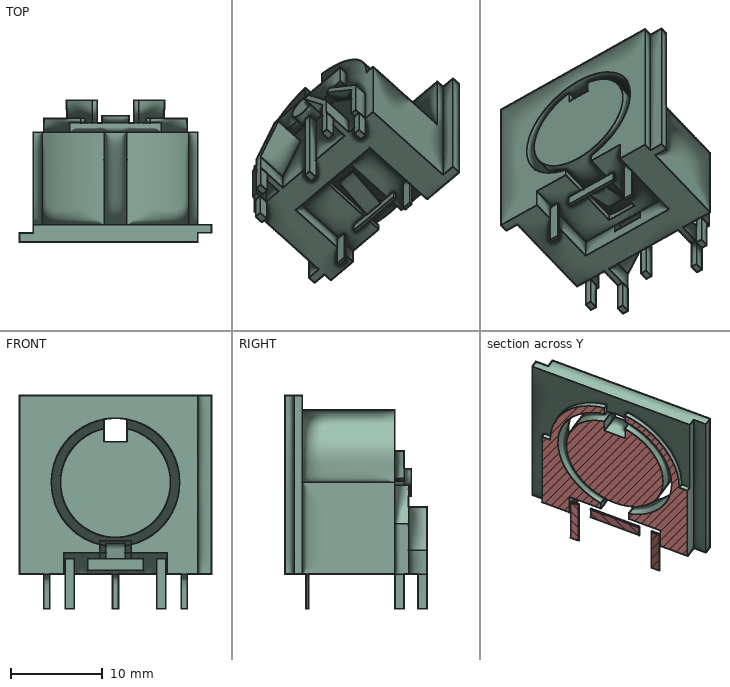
import cadquery as cq
import math


plate_width = 19.5
panel_height = 19.5
panel_span = 21.0
front_plate_depth = 1.0
panel_depth = 1.9

body_back = 12.0
body_width = 18.0
barrel_radius = 8.0
axis_height = 10.0
bore_radius = 7.0
core_radius = 6.0
bore_depth = 9.0
key_slot_width = 2.5
key_slot_floor = 14.45

recess_width = 11.24
recess_height = 2.35
tab_slot_width = 3.44
tab_slot_depth = 8.0
back_pocket_height = 3.65
back_pocket_depth = 1.0

sheet = 0.3
ground_front = 2.28
ground_pin_spacing = 10.0
ground_pin_width = 1.0
ground_top = 1.67
apron_width = 6.04
apron_bottom = 0.44
tab_width = 2.1
tab_tip_height = 3.34
tab_run = 4.64
pin_tip = -3.8

leg_width = 0.7
leg_depth = 1.0
strip_width = 0.63
outer_strip_x = 7.5
outer_strip_back = 13.5
outer_bend_height = 5.5
outer_arm_run = 4.0
outer_arm_rise = 4.21
inner_strip_x = 5.0
inner_strip_back = 15.5
inner_bend_height = 2.6
inner_arm_run = 2.79
inner_arm_rise = 4.72

crosspiece_half_width = 5.0
crosspiece_top = 13.44
crosspiece_bottom = 10.47
waist_half_width = 3.07
waist_height = 10.1
foot_half_width = 3.7
foot_height = 9.6
rivet_diameter = 3.0
rivet_length = 0.8


def block(x_min, x_max, y_min, y_max, z_min, z_max):
    size = (x_max - x_min, y_max - y_min, z_max - z_min)
    return cq.Workplane("XY").box(*size, centered=False).translate((x_min, y_min, z_min))


def centred_block(width, y_min, y_max, z_min, z_max):
    return block(-width / 2, width / 2, y_min, y_max, z_min, z_max)


def extrude_back(sketch, y_min, y_max):
    """Extrude an XZ sketch from y_min back to y_max."""
    return sketch.extrude(y_min - y_max).translate((0, y_min, 0))


def disc(radius, y_min, y_max):
    """Cylinder on the socket axis."""
    return extrude_back(cq.Workplane("XZ").center(0, axis_height).circle(radius), y_min, y_max)


def profile(points, y_min, y_max):
    return extrude_back(cq.Workplane("XZ").polyline(points).close(), y_min, y_max)


def front_panel():
    edge = panel_span / 2
    front_plate = block(-edge, plate_width - edge, 0, front_plate_depth, 0, panel_height)
    back_plate = block(edge - plate_width, edge, front_plate_depth, panel_depth, 0, panel_height)
    return front_plate.union(back_plate)


def socket_body():
    """Round barrel on a square base, behind the panel."""
    barrel = disc(barrel_radius, panel_depth, body_back)
    return barrel.union(centred_block(body_width, panel_depth, body_back, 0, axis_height))


def annular_bore():
    return disc(bore_radius, 0, bore_depth).cut(disc(core_radius, 0, bore_depth))


def key_slot():
    """Slot for the plug key: within the bore at the panel, open to the top behind it."""
    in_panel = centred_block(key_slot_width, 0, panel_depth, key_slot_floor, panel_height)
    in_panel = in_panel.intersect(disc(bore_radius, 0, panel_depth))
    behind = centred_block(key_slot_width, panel_depth, body_back, key_slot_floor, panel_height)
    return in_panel.union(behind)


def ground_recess():
    """Wide recess, the slot that opens it into the bore, and a shallow pocket in its back wall."""
    recess = centred_block(recess_width, 0, bore_depth, 0, recess_height)
    tab_slot = centred_block(tab_slot_width, 0, tab_slot_depth, 0, axis_height - core_radius)
    tab_slot = tab_slot.cut(disc(core_radius, 0, tab_slot_depth))
    pocket_back = bore_depth + back_pocket_depth
    pocket_floor = ground_top - sheet
    pocket = centred_block(tab_slot_width, bore_depth, pocket_back, pocket_floor, back_pocket_height)
    return recess.union(tab_slot).union(pocket)


def signal_contact(x, bend_height, arm_run, arm_rise, back, leg_back):
    """Left-hand contact: a strip that leans inward above its bend, and its solder leg."""
    arm_length = math.hypot(arm_run, arm_rise)
    outside = -x - strip_width / 2
    inside = -x + strip_width / 2
    tip_x = outside + arm_run
    tip_z = bend_height + arm_rise
    inner_tip_x = tip_x + strip_width * arm_rise / arm_length
    inner_tip_z = tip_z - strip_width * arm_run / arm_length
    inner_bend_height = inner_tip_z - (inner_tip_x - inside) * arm_rise / arm_run
    outline = [
        (outside, 0),
        (outside, bend_height),
        (tip_x, tip_z),
        (inner_tip_x, inner_tip_z),
        (inside, inner_bend_height),
        (inside, 0),
    ]
    strip = profile(outline, body_back, back)
    leg = centred_block(leg_width, leg_back - leg_depth, leg_back, pin_tip, 0).translate((-x, 0, 0))
    return strip.union(leg)


def centre_contact():
    """Wide crosspiece with a waist below it, a central leg and a rivet head."""
    back = body_back + leg_depth
    half_outline = [
        (crosspiece_half_width, crosspiece_top),
        (crosspiece_half_width, crosspiece_bottom),
        (waist_half_width, waist_height),
        (foot_half_width, foot_height),
    ]
    mirrored = [(-x, z) for x, z in reversed(half_outline)]
    crosspiece = profile(half_outline + mirrored, body_back, back)
    leg = centred_block(leg_width, body_back, back, pin_tip, foot_height)
    rivet = disc(rivet_diameter / 2, body_back, back + rivet_length)
    return crosspiece.union(leg).union(rivet)


def make_housing():
    housing = front_panel().union(socket_body())
    housing = housing.cut(annular_bore()).cut(key_slot()).cut(ground_recess())
    outer = signal_contact(
        outer_strip_x, outer_bend_height, outer_arm_run, outer_arm_rise,
        outer_strip_back, body_back + leg_depth,
    )
    inner = signal_contact(
        inner_strip_x, inner_bend_height, inner_arm_run, inner_arm_rise,
        inner_strip_back, inner_strip_back,
    )
    for contact in (outer, inner):
        housing = housing.union(contact).union(contact.mirror("YZ"))
    return housing.union(centre_contact())


def make_ground_pin(x):
    pin = centred_block(ground_pin_width, ground_front, ground_front + sheet, pin_tip, ground_top)
    return pin.translate((x, 0, 0))


def make_ground_spring():
    """Upright apron with a spring tab that slopes up and back into the bore."""
    apron = centred_block(apron_width, ground_front, ground_front + sheet, apron_bottom, ground_top)
    tab_tip = ground_front + tab_run
    outline = [
        (ground_front, ground_top),
        (tab_tip, tab_tip_height),
        (tab_tip, tab_tip_height - sheet),
        (ground_front, ground_top - sheet),
    ]
    tab = cq.Workplane("YZ").polyline(outline).close().extrude(tab_width / 2, both=True)
    return apron.union(tab)


housing = make_housing()
ground_pins = [make_ground_pin(side * ground_pin_spacing / 2) for side in (-1, 1)]
ground_spring = make_ground_spring()

bodies = [housing, ground_spring, *ground_pins]
result = cq.Compound.makeCompound([body.solids().val() for body in bodies])